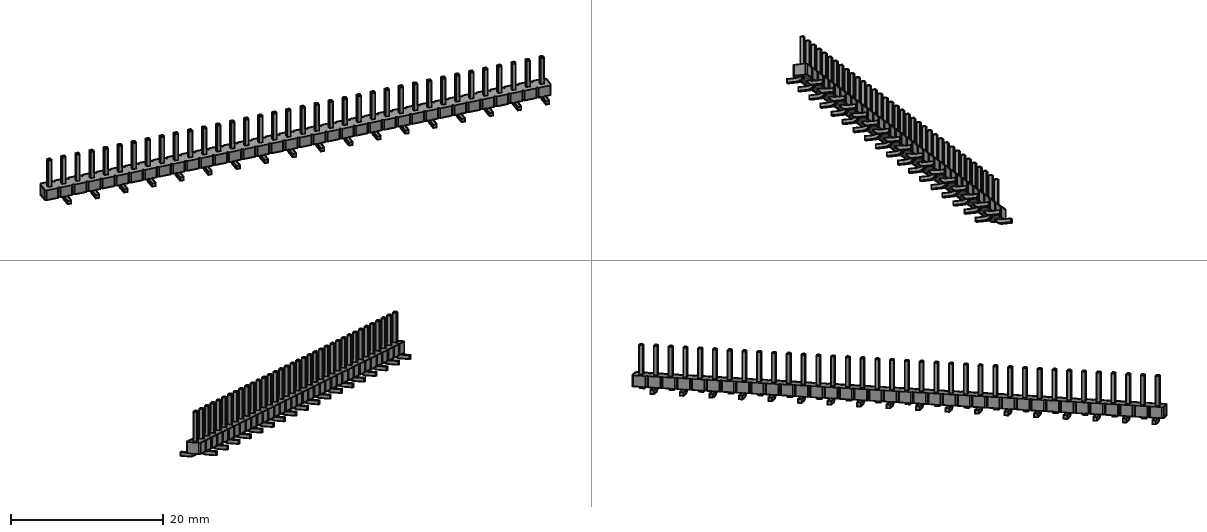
import cadquery as cq

PIN_COUNT = 36
PITCH = 2.0
OVERALL_WIDTH = 4.2
OVERALL_HEIGHT = 6.2

PIN_SIZE = 0.5
PIN_TIP_CHAMFER = 0.15
BEND_INNER_RADIUS = 0.5
BEND_OUTER_RADIUS = BEND_INNER_RADIUS + PIN_SIZE

HOUSING_WIDTH = 2.0
HOUSING_HEIGHT = 1.5
HOUSING_GAP = 0.1
CORNER_BEVEL = 0.2

ROW_LENGTH = PIN_COUNT * PITCH
TOP_Z = OVERALL_HEIGHT / 2
BOTTOM_Z = -OVERALL_HEIGHT / 2
FOOT_TOP_Z = BOTTOM_Z + PIN_SIZE
HOUSING_BOTTOM_Z = FOOT_TOP_Z + HOUSING_GAP


def housing_cell(y_center):
    """One pitch of the housing: a block whose four vertical corners are bevelled."""
    return (
        cq.Workplane("XY", origin=(0, y_center, HOUSING_BOTTOM_Z))
        .rect(HOUSING_WIDTH, PITCH)
        .extrude(HOUSING_HEIGHT)
        .edges("|Z")
        .chamfer(CORNER_BEVEL)
    )


def pin(y_center, side):
    """An L-shaped square pin with a chamfered tip; side is +1 or -1, the X direction of its foot."""
    inner_x = side * PIN_SIZE / 2
    outer_x = -inner_x
    foot_end_x = side * OVERALL_WIDTH / 2
    bend_start_z = BOTTOM_Z + BEND_OUTER_RADIUS
    bend_end_x = outer_x + side * BEND_OUTER_RADIUS
    return (
        cq.Workplane("XZ", origin=(0, y_center + PIN_SIZE / 2, 0))
        .moveTo(outer_x, TOP_Z)
        .lineTo(outer_x, bend_start_z)
        .radiusArc((bend_end_x, BOTTOM_Z), -side * BEND_OUTER_RADIUS)
        .lineTo(foot_end_x, BOTTOM_Z)
        .lineTo(foot_end_x, FOOT_TOP_Z)
        .lineTo(bend_end_x, FOOT_TOP_Z)
        .radiusArc((inner_x, bend_start_z), side * BEND_INNER_RADIUS)
        .lineTo(inner_x, TOP_Z)
        .close()
        .extrude(PIN_SIZE)
        .faces(">Z")
        .chamfer(PIN_TIP_CHAMFER)
    )


def header():
    """The notched housing with every pin in place."""
    cells = []
    pins = []
    for index in range(PIN_COUNT):
        y_center = (index + 0.5) * PITCH - ROW_LENGTH / 2
        side = -1 if index % 2 == 0 else 1
        cells.append(housing_cell(y_center).val())
        pins.append(pin(y_center, side).val())
    first, *others = cells + pins
    joined = first.fuse(*others).clean()
    return cq.Workplane(joined.Solids()[0])


result = header()